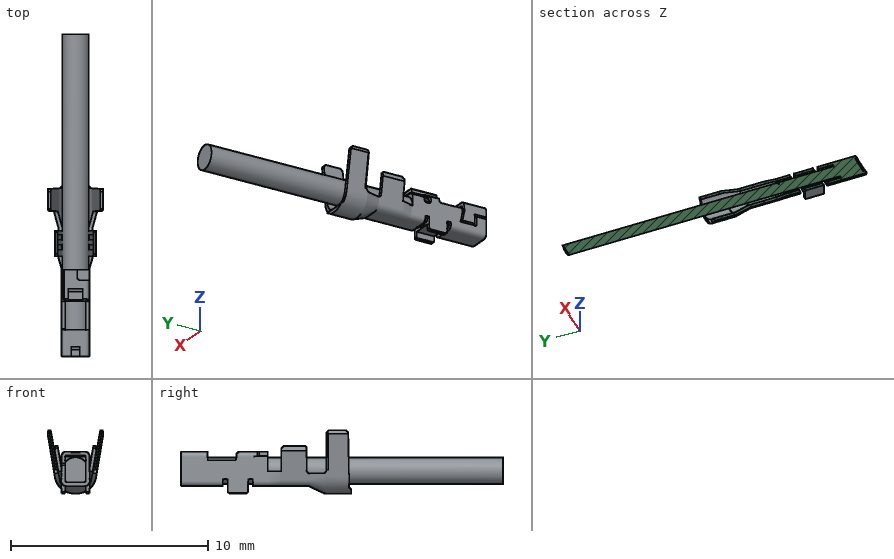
import cadquery as cq
import math


sheet = 0.20
wire_diameter = 1.36
wire_end = 16.35
wire_start = 0.10
through = 10.0

box_width = 1.44
box_top = 0.97
box_bottom = -0.78
box_rear = 4.49
box_cover_rear = 4.41
box_corner = 0.25
cavity_corner = 0.08
mouth_fillet = 0.06

window_front = 1.36
window_rear = 2.82
window_sill = 0.52
window_corner = 0.12

flap_top = 0.73
flap_root = 0.42
flap_front = 3.72
flap_bend = 0.27
cover_edge = -0.64
cover_edge_drop = 0.11
cover_edge_run = 0.07
cover_front_chamfer = 0.12
cover_corner_chamfer = 0.15
relief_radius = 0.20
relief_y = 3.51
cover_notch_edge = 0.08
cover_notch_front = 3.88
cover_notch_corner = 0.10

rear_ramp = (0.375, 2.82, 3.44)
front_ramp = (0.22, 0.0, 0.51)
ramp_depth = 0.06
ramp_slope_length = 0.15

seam_gap = 0.11
seam_upper = 0.32
seam_lower = -0.20
seam_step_y = 0.66
seam_rear_y = 1.50

leg_front = 2.37
leg_rear = 3.42
leg_bottom = -1.17
leg_chamfer = 0.10
leg_edge_chamfer = 0.06
leg_notch_width = 0.24
leg_notch_top = -0.42
leg_notch_fillet = 0.08

grip_half_width = 1.42
grip_top = 2.06
grip_shoulder = 1.88
grip_bottom = -1.17
grip_floor_half = 0.04
grip_tilt = 9.5
grip_front = 7.30
grip_rear = 8.54
grip_ear_front = 7.38
grip_ear_rear = 8.50
grip_ear_bevel = 0.10
grip_tongue_rear = 8.65
grip_tongue_top = -0.84

crimp_half_width = 1.06
crimp_top = 1.26
crimp_shoulder = 1.00
crimp_corner = 0.37
crimp_tilt = 10.0
crimp_front = 5.04
crimp_rear = 6.48
crimp_ear_front = 5.09
crimp_ear_rear = 6.38
groove_centres = (5.555, 6.05)
groove_width = 0.25
groove_depth = 0.05
groove_bottom = -0.20
groove_top = 0.80

ear_chamfer = 0.13
ear_root_fillet = 0.18
tip_taper = 0.05
rear_neck_top = -0.14
neck_wall_end = 0.30
front_neck_top = -0.03

wire_radius = wire_diameter / 2
half_box = box_width / 2
half_cavity = half_box - sheet
cavity_top = box_top - sheet
cavity_bottom = box_bottom + sheet


def box(x_range, y_range, z_range):
    """Axis-aligned block from its limits."""
    return cq.Workplane("XY").box(
        x_range[1] - x_range[0],
        y_range[1] - y_range[0],
        z_range[1] - z_range[0],
        centered=False,
    ).translate((x_range[0], y_range[0], z_range[0]))


def cross_section(y):
    """Workplane across the part at y, with local axes X and Z."""
    return cq.Workplane(cq.Plane(origin=(0, y, 0), xDir=(1, 0, 0), normal=(0, -1, 0)))


def side_prism(points, x_start=-through / 2, x_end=through / 2):
    """Prism along X from an outline of (y, z) points."""
    profile = cq.Workplane("YZ", origin=(x_start, 0, 0)).polyline(points).close()
    return profile.extrude(x_end - x_start)


def polar(centre_x, centre_z, radius, degrees):
    """Point on a circle, measured from +X toward +Z."""
    angle = math.radians(degrees)
    return (centre_x + radius * math.cos(angle), centre_z + radius * math.sin(angle))


def mirrored(point):
    return (-point[0], point[1])


def floor_half_for(half_width, bottom, corner, tilt, shoulder):
    """Flat half width that puts the shoulder of a flared trough at half_width."""
    tangent_x, tangent_z = polar(0, bottom + corner, corner, -tilt)
    return half_width - tangent_x - (shoulder - tangent_z) * math.tan(math.radians(tilt))


def corner_for(half_width, bottom, floor_half, tilt, shoulder):
    """Corner radius that puts the shoulder of a flared trough at half_width."""
    angle = math.radians(tilt)
    straight_part = half_width - floor_half - (shoulder - bottom) * math.tan(angle)
    return straight_part / (math.cos(angle) - (1 - math.sin(angle)) * math.tan(angle))


def trough(plane, bottom, floor_half, corner, tilt, shoulder, tip=None):
    """Closed U outline of one sheet: floor, two round corners, two flared walls.

    The walls end at the shoulder, or go on to a tapered tip.
    """
    slope = math.tan(math.radians(tilt))
    middle = -(90 + tilt) / 2
    centre_z = bottom + corner
    inner_corner = corner - sheet
    outer = polar(floor_half, centre_z, corner, -tilt)
    outer_mid = polar(floor_half, centre_z, corner, middle)
    inner = polar(floor_half, centre_z, inner_corner, -tilt)
    inner_mid = polar(floor_half, centre_z, inner_corner, middle)
    outer_end = (outer[0] + (shoulder - outer[1]) * slope, shoulder)
    inner_end = (inner[0] + (shoulder - inner[1]) * slope, shoulder)
    ends = [outer_end, inner_end]
    if tip is not None:
        ends = [
            outer_end,
            (outer_end[0] - tip_taper, tip),
            (inner_end[0] + tip_taper, tip),
            inner_end,
        ]
    outline = plane.moveTo(-floor_half, bottom).lineTo(floor_half, bottom)
    outline = outline.threePointArc(outer_mid, outer)
    for point in ends:
        outline = outline.lineTo(*point)
    outline = outline.lineTo(*inner)
    outline = outline.threePointArc(inner_mid, (floor_half, bottom + sheet))
    outline = outline.lineTo(-floor_half, bottom + sheet)
    outline = outline.threePointArc(mirrored(inner_mid), mirrored(inner))
    for point in reversed(ends):
        outline = outline.lineTo(*mirrored(point))
    outline = outline.lineTo(*mirrored(outer))
    return outline.threePointArc(mirrored(outer_mid), (-floor_half, bottom)).close()


grip_corner = corner_for(
    grip_half_width, grip_bottom, grip_floor_half, grip_tilt, grip_shoulder
)
crimp_floor_half = floor_half_for(
    crimp_half_width, box_bottom, crimp_corner, crimp_tilt, crimp_shoulder
)
grip_shape = (grip_bottom, grip_floor_half, grip_corner, grip_tilt)
crimp_shape = (box_bottom, crimp_floor_half, crimp_corner, crimp_tilt)
box_shape = (box_bottom, half_box - box_corner, box_corner, 0)


def make_neck(y_front, front_shape, y_rear, rear_shape):
    """Sheet blending one trough into another; trimmed later by the silhouette."""
    rear = trough(cross_section(y_rear), *rear_shape, neck_wall_end).wires().val()
    front = trough(cross_section(y_front), *front_shape, neck_wall_end).wires().val()
    return cq.Workplane(cq.Solid.makeLoft([rear, front], True))


def make_silhouette():
    """Side outline of the two barrels and their necks, as a prism along X."""
    base = leg_bottom - sheet
    root = ear_root_fillet
    cut = ear_chamfer
    bend = root * (1 - math.sqrt(0.5))
    rear_z = rear_neck_top
    front_z = front_neck_top
    outline = (
        cq.Workplane("YZ", origin=(-through / 2, 0, 0))
        .moveTo(box_rear, base)
        .lineTo(box_rear, front_z)
        .lineTo(crimp_ear_front, front_z)
        .lineTo(crimp_ear_front, crimp_top - cut)
        .lineTo(crimp_ear_front + cut, crimp_top)
        .lineTo(crimp_ear_rear - cut / 2, crimp_top)
        .lineTo(crimp_ear_rear, crimp_top - cut / 2)
        .lineTo(crimp_ear_rear, rear_z + root)
        .threePointArc((crimp_ear_rear + bend, rear_z + bend), (crimp_ear_rear + root, rear_z))
        .lineTo(grip_ear_front - root, rear_z)
        .threePointArc((grip_ear_front - bend, rear_z + bend), (grip_ear_front, rear_z + root))
        .lineTo(grip_ear_front, grip_top - cut)
        .lineTo(grip_ear_front + cut, grip_top)
        .lineTo(grip_ear_rear - cut, grip_top)
        .lineTo(grip_ear_rear, grip_top - cut)
        .lineTo(grip_rear, grip_tongue_top)
        .lineTo(grip_tongue_rear, grip_tongue_top - (grip_tongue_rear - grip_rear))
        .lineTo(grip_tongue_rear, base)
        .close()
    )
    return outline.extrude(through)


def make_grooves():
    """Serration grooves sunk into the inner faces of the conductor ears, running out upward."""
    slope = math.tan(math.radians(crimp_tilt))
    inner_corner = crimp_corner - sheet
    inner_tangent = polar(crimp_floor_half, box_bottom + crimp_corner, inner_corner, -crimp_tilt)
    grooves = cq.Workplane("XY")
    for centre in groove_centres:
        low_x = inner_tangent[0] + (groove_bottom - inner_tangent[1]) * slope + groove_depth
        high_x = inner_tangent[0] + (groove_top - inner_tangent[1]) * slope
        groove = (
            cross_section(centre - groove_width / 2)
            .polyline([
                (-low_x, groove_bottom),
                (low_x, groove_bottom),
                (high_x, groove_top),
                (-high_x, groove_top),
            ])
            .close()
            .extrude(-groove_width)
        )
        grooves = grooves.add(groove)
    return grooves.combine()


def make_ear_bevels():
    """Wedges that bevel the outer front edges of the insulation ears."""
    angle = math.radians(grip_tilt)
    tangent_x, tangent_z = polar(grip_floor_half, grip_bottom + grip_corner, grip_corner, -grip_tilt)
    start_z = rear_neck_top + ear_root_fillet
    start_x = tangent_x + (start_z - tangent_z) * math.tan(angle)
    along_ear = cq.Plane(
        origin=(start_x, grip_ear_front, start_z),
        xDir=(math.cos(angle), 0, -math.sin(angle)),
        normal=(math.sin(angle), 0, math.cos(angle)),
    )
    bevel = (
        cq.Workplane(along_ear)
        .polyline([(-grip_ear_bevel, 0), (0, 0), (0, grip_ear_bevel)])
        .close()
        .extrude((grip_top - start_z) / math.cos(angle))
    )
    return bevel.union(bevel.mirror("YZ"))


def make_barrels():
    grip = trough(cross_section(grip_front), *grip_shape, grip_shoulder, grip_top)
    grip = grip.extrude(grip_front - grip_tongue_rear)
    crimp = trough(cross_section(crimp_front), *crimp_shape, crimp_shoulder, crimp_top)
    crimp = crimp.extrude(crimp_front - crimp_rear).cut(make_grooves())
    rear_neck = make_neck(crimp_rear, crimp_shape, grip_front, grip_shape)
    front_neck = make_neck(box_rear, box_shape, crimp_front, crimp_shape)
    barrels = grip.union(rear_neck).union(crimp).union(front_neck)
    return barrels.intersect(make_silhouette()).cut(make_ear_bevels())


def make_cavity(y_start, y_end):
    height = cavity_top - cavity_bottom
    return (
        cross_section(y_start)
        .center(0, (cavity_top + cavity_bottom) / 2)
        .rect(2 * half_cavity, height)
        .extrude(y_start - y_end)
        .edges("|Y")
        .fillet(cavity_corner)
    )


def make_legs():
    """Two extensions of the side walls below the box."""
    legs = cq.Workplane("XY")
    for side in (-1, 1):
        x_limits = sorted((side * half_box, side * half_cavity))
        leg = box(x_limits, (leg_front, leg_rear), (leg_bottom, 0))
        leg = leg.edges("|X").edges("<Z").chamfer(leg_chamfer)
        leg = leg.faces("<Z").edges("|Y").chamfer(leg_edge_chamfer)
        legs = legs.add(leg)
    return legs.combine()


def make_leg_notch(y_start):
    notch = box(
        (-through / 2, through / 2),
        (y_start, y_start + leg_notch_width),
        (box_bottom - sheet, leg_notch_top),
    )
    return notch.edges("|X").edges(">Z").fillet(leg_notch_fillet)


def make_ramp(half_width, deep_y, shallow_y):
    """Wedge-ended recess pressed into the roof."""
    deep_z = box_top - ramp_depth
    outline = [
        (deep_y, box_top),
        (deep_y, deep_z),
        (shallow_y - ramp_slope_length, deep_z),
        (shallow_y, box_top),
    ]
    return side_prism(outline, -half_width, half_width)


def make_seam():
    """Stepped gap in the -X wall where the two ends of the sheet meet."""
    half_gap = seam_gap / 2
    outline = [
        (0, seam_upper + half_gap),
        (seam_step_y + half_gap, seam_upper + half_gap),
        (seam_step_y + half_gap, seam_lower + half_gap),
        (seam_rear_y - half_gap, seam_lower + half_gap),
        (window_front - half_gap, window_sill),
        (window_front + half_gap, window_sill),
        (seam_rear_y + half_gap, seam_lower),
        (seam_rear_y, seam_lower - half_gap),
        (seam_step_y, seam_lower - half_gap),
        (seam_step_y - half_gap, seam_lower),
        (seam_step_y - half_gap, seam_upper - half_gap),
        (0, seam_upper - half_gap),
    ]
    return side_prism(outline, -half_box, -half_cavity)


def make_cover_edge():
    """Flat margin of the cover along its bevelled free edge, where the roof does not bend down."""
    outline = [
        (cover_edge, flap_top),
        (cover_edge, box_top - cover_edge_drop),
        (cover_edge + cover_edge_run, box_top),
        (box_corner - half_box, box_top),
        (box_corner - half_box, flap_top),
    ]
    margin = cross_section(window_rear).polyline(outline).close()
    return margin.extrude(window_rear - box_cover_rear)


def make_cover_trim():
    """Material removed around the cover: its free edge, that edge's front corner and its front slope."""
    edge = box(
        (-half_box, cover_edge),
        (window_rear, box_rear),
        (flap_top, box_top),
    )
    corner = (
        cq.Workplane("XY", origin=(cover_edge, window_rear, flap_top))
        .polyline([(0, 0), (cover_corner_chamfer, 0), (0, cover_corner_chamfer)])
        .close()
        .extrude(box_top - flap_top)
    )
    slope = side_prism([
        (window_rear, box_top),
        (window_rear, box_top - cover_front_chamfer),
        (window_rear + cover_front_chamfer, box_top),
    ])
    return edge.union(corner).union(slope)


def make_cover_notch():
    notch = box(
        (cover_notch_edge, half_box),
        (cover_notch_front, box_rear),
        (flap_top, box_top),
    )
    return notch.edges("|Z").edges("<X and <Y").chamfer(cover_notch_corner)


def make_flap():
    """Flap bent from the -X wall that lies under the cover."""
    flap = box(
        (-half_box, half_box),
        (flap_front, box_cover_rear),
        (flap_root, flap_top),
    )
    return flap.edges("|Y").edges("<X and >Z").fillet(flap_bend)


def make_box():
    height = box_top - box_bottom
    shell = (
        cross_section(0)
        .center(0, (box_top + box_bottom) / 2)
        .rect(box_width, height)
        .extrude(-box_rear)
        .edges("|Y")
        .fillet(box_corner)
        .faces("<Y")
        .edges()
        .fillet(mouth_fillet)
        .cut(make_cavity(0, box_rear))
        .union(make_cover_edge())
    )
    window = box((-through / 2, through / 2), (window_front, window_rear), (window_sill, box_top))
    window = window.edges("|X").edges(">Y and <Z").fillet(window_corner)
    rear_trim = box((-through / 2, through / 2), (box_cover_rear, box_rear), (front_neck_top, box_top))
    shell = shell.cut(window).cut(rear_trim)
    shell = shell.cut(make_leg_notch(leg_front - leg_notch_width))
    shell = shell.cut(make_leg_notch(leg_rear))
    shell = shell.cut(make_ramp(*rear_ramp)).cut(make_ramp(*front_ramp))
    shell = shell.cut(make_seam()).cut(make_cover_trim()).cut(make_cover_notch())
    corner_cut = box(
        (-half_box, -half_cavity),
        (flap_front, box_rear),
        (flap_root, flap_top),
    )
    shell = shell.cut(corner_cut).union(make_flap())
    relief = cq.Workplane("YZ", origin=(-half_box, relief_y, window_sill)).circle(relief_radius)
    shell = shell.cut(relief.extrude(sheet))
    return shell.union(make_legs())


def make_wire():
    """Round wire; inside the box it is narrowed to fit between the walls."""
    wire = cross_section(wire_start).circle(wire_radius).extrude(wire_start - wire_end)
    for side in (-1, 1):
        x_limits = sorted((side * half_cavity, side * half_box))
        wire = wire.cut(box(x_limits, (0, box_cover_rear), (box_bottom, box_top)))
    seat = make_cavity(wire_start, window_front)
    seat = seat.cut(box((-half_box, half_box), (0, window_rear), (0, box_top)))
    return wire.union(seat)


result = make_wire().union(make_box()).union(make_barrels())